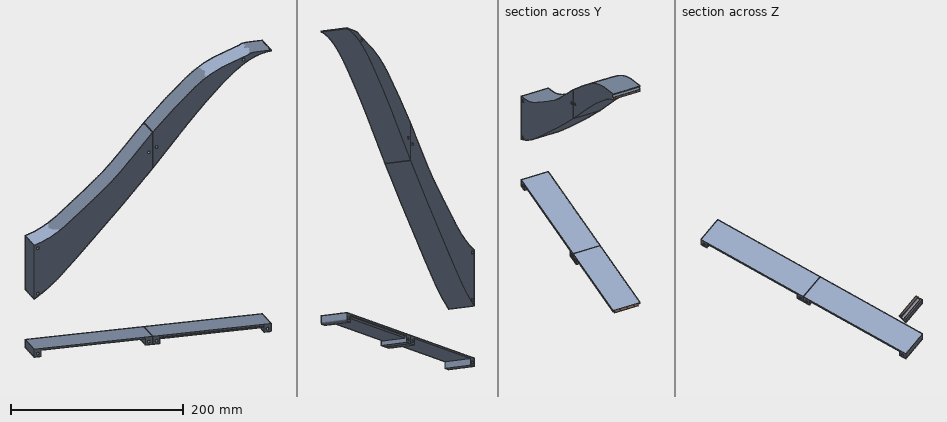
import cadquery as cq

width = 34.5
length = 287.37
height = 347.0

seam_gap = 0.37
half_length = (length - seam_gap) / 2
rear_start = half_length + seam_gap

hole_diameter = 3.3
hole_end_distance = 4.5

root_bottom_z = 71.5
root_top_z = 138.0
tip_thickness = 1.2
upper_curve = [
    (0, root_top_z),
    (26.5, 150.0),
    (58.0, 175.0),
    (90.0, 202.6),
    (143.7, 261.5),
    (184.5, 302.0),
    (229.0, 333.0),
    (259.0, 344.0),
    (length, height),
]
lower_curve = [
    (0, root_bottom_z),
    (14.5, 81.5),
    (55.0, 120.5),
    (143.7, 217.0),
    (189.0, 270.5),
    (224.0, 308.0),
    (249.0, 330.0),
    (269.0, 341.5),
    (length, height - tip_thickness),
]
upper_tangents = [None] * (len(upper_curve) - 1) + [(1, 0)]
root_top_hole_z = 134.0
root_bottom_hole_z = 78.0
front_seam_hole_z = 237.2
rear_seam_hole_z = 242.8
tip_hole_y = 253.8
tip_hole_z = 338.6

base_height = 10.0
plate_thickness = 2.2
lug_length = 8.5
lug_hole_z = 4.0
lug_fillet = 1.5

pad_height = 2.6
pad_inset = 2.2


def block(y_start, y_end, z_start, z_end, x_size=width):
    """Block between two Y and two Z positions, centred on X = 0."""
    corner = (-x_size / 2, y_start, z_start)
    size = (x_size, y_end - y_start, z_end - z_start)
    return cq.Workplane("XY").box(*size, centered=False).translate(corner)


def drill(body, places):
    """Cut screw holes along X through the body at the given (y, z) places."""
    holes = cq.Workplane("YZ").pushPoints(places).circle(hole_diameter / 2).extrude(width, both=True)
    return body.cut(holes)


def blade_half(y_start, hole_places):
    """The stretch of blade that begins at y_start, with its holes."""
    whole_blade = (
        cq.Workplane("YZ", origin=(-width / 2, 0, 0))
        .moveTo(*upper_curve[0])
        .spline(upper_curve[1:], tangents=upper_tangents, includeCurrent=True)
        .lineTo(*lower_curve[-1])
        .spline(lower_curve[-2::-1], includeCurrent=True)
        .close()
        .extrude(width)
    )
    stretch = block(y_start, y_start + half_length, 0, height)
    return drill(whole_blade.intersect(stretch), hole_places)


def base_half(y_start):
    """A plate that begins at y_start, with a drilled lug under each end."""
    y_end = y_start + half_length
    plate = block(y_start, y_end, base_height - plate_thickness, base_height)
    front_lug = block(y_start, y_start + lug_length, 0, base_height)
    rear_lug = block(y_end - lug_length, y_end, 0, base_height)
    hole_places = [(y, lug_hole_z) for y in (y_start + hole_end_distance, y_end - hole_end_distance)]
    return drill(plate.union(front_lug).union(rear_lug), hole_places)


def base_pad():
    """The pad between the two lugs of the rear plate."""
    top_z = base_height - plate_thickness
    return block(
        rear_start + lug_length,
        length - lug_length,
        top_z - pad_height,
        top_z,
        width - 2 * pad_inset,
    )


front_blade = blade_half(
    0,
    [
        (hole_end_distance, root_top_hole_z),
        (hole_end_distance, root_bottom_hole_z),
        (half_length - hole_end_distance, front_seam_hole_z),
    ],
)
rear_blade = blade_half(
    rear_start,
    [
        (rear_start + hole_end_distance, rear_seam_hole_z),
        (tip_hole_y, tip_hole_z),
    ],
)

front_base = base_half(0)

rear_base = base_half(rear_start).edges("|X and >Y and <Z").fillet(lug_fillet).union(base_pad())

result = cq.Compound.makeCompound(
    [front_blade.val(), rear_blade.val(), front_base.val(), rear_base.val()]
)